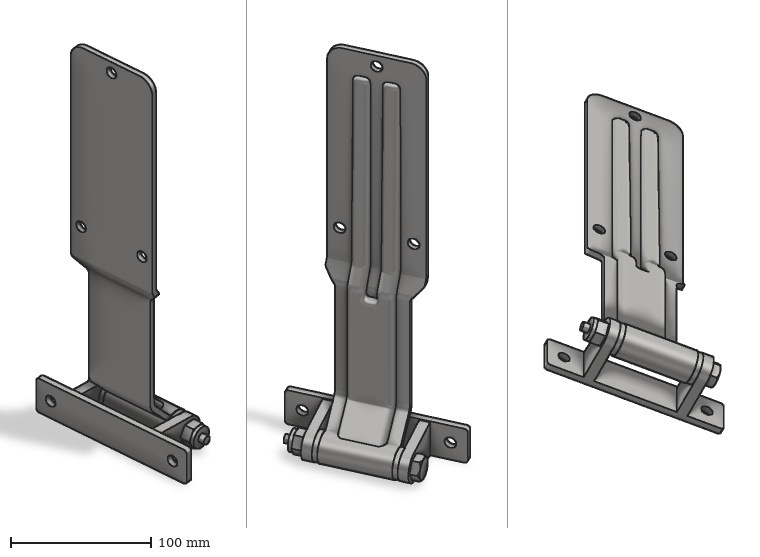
import cadquery as cq
import math

TOTAL_DEPTH = 50.0
BARREL_RADIUS = 25.0 / 2
AXIS_Y = TOTAL_DEPTH - BARREL_RADIUS
AXIS_Z = BARREL_RADIUS
TOP_Z = 342.5
HOLE_D = 9.0
FAR = 685.0
REACH = 0.5

PLATE_WIDTH = 139.0
PLATE_HEIGHT = 30.0
PLATE_THICK = 5.0
PLATE_CORNER = 3.0
PLATE_BOTTOM = 0.17
PLATE_HOLE_X = 56.0
EAR_OUTER_X = 40.8
EAR_INNER_X = 32.5
EAR_RADIUS = AXIS_Z - PLATE_BOTTOM
EAR_STEP = 1.0

STRAP_THICK = 4.5
OFFSET_Y = 9.0
UPPER_BEND_Z = 154.8
MIDDLE_BEND_Z = 140.0
LOWER_BEND_Z = 42.0
INNER_BEND = 4.5
LOWER_INNER_BEND = 8.2
WIDE_HALF = 37.7
NARROW_HALF = 28.5
TAPER_TOP_Z = 150.0
TAPER_BOTTOM_Z = 139.0
TAPER_ROUND = 3.0
TOP_CORNER = 12.0
TOP_HOLE_Z = 333.0
PAIR_HOLE_Z = 183.2
PAIR_HOLE_X = 28.0
BARREL_FILLET = 2.5

RIB_HALF = 18.0
RIB_HEIGHT = 6.0
RIB_TOP_HEIGHT = 3.0
RIB_TOP_Z = 321.5
RIB_ROUND = 4.5
PRONG_CORNER = 4.8
CHANNEL_HALF = 4.5
CHANNEL_BOTTOM_Z = 135.3
CHANNEL_CORNER = 2.5
CREST_TILT = 0.3
CREST_INNER_BEND = 4.0
CREST_OUTER_BEND = 10.5

BUSHING_RADIUS = 12.0
BOLT_RADIUS = 3.5
HEX_FLATS = 17.0
HEX_CORNERS = HEX_FLATS / math.cos(math.pi / 6)
HEAD_END_X = -48.0
HEAD_CHAMFER_DEPTH = 1.5
NUT_HEX_END_X = 49.0
NUT_COLLAR_END_X = 52.0
NUT_COLLAR_RADIUS = 17.5 / 2
BOLT_END_X = 57.2


def axis_cylinder(radius, x_start, x_end):
    """Cylinder about the hinge axis between two X positions."""
    return (
        cq.Workplane("YZ", origin=(x_start, AXIS_Y, AXIS_Z))
        .circle(radius)
        .extrude(x_end - x_start)
    )


def axis_hexagon(x_start, x_end):
    """Hexagonal prism about the hinge axis, with flats at top and bottom."""
    return (
        cq.Workplane("YZ", origin=(x_start, AXIS_Y, AXIS_Z))
        .polygon(6, HEX_CORNERS)
        .extrude(x_end - x_start)
    )


def holes_along_y(points):
    """Drills along Y at the given (x, z) points."""
    return cq.Workplane("XZ").pushPoints(points).circle(HOLE_D / 2).extrude(FAR, both=True)


def edges_within(y_low, y_high, z_low, z_high):
    """Selector for edges centred between the given Y and Z limits, at any X."""
    return cq.selectors.BoxSelector((-FAR, y_low, z_low), (FAR, y_high, z_high))


def side_prism(points, half_width):
    """Prism across X of a closed (y, z) outline."""
    return cq.Workplane("YZ").polyline(points).close().extrude(half_width, both=True)


def make_ear(x_start):
    """Ear with a round end about the axis, a flat bottom and a top edge sloping up to the plate."""
    top_z = PLATE_BOTTOM + PLATE_HEIGHT - EAR_STEP
    dy = AXIS_Y - PLATE_THICK
    dz = top_z - AXIS_Z
    tangent_angle = math.atan2(dz, -dy) - math.acos(EAR_RADIUS / math.hypot(dy, dz))
    tangent = (
        AXIS_Y + EAR_RADIUS * math.cos(tangent_angle),
        AXIS_Z + EAR_RADIUS * math.sin(tangent_angle),
    )
    return (
        cq.Workplane("YZ", origin=(x_start, 0, 0))
        .moveTo(PLATE_THICK, PLATE_BOTTOM)
        .lineTo(AXIS_Y, PLATE_BOTTOM)
        .threePointArc((AXIS_Y + EAR_RADIUS, AXIS_Z), tangent)
        .lineTo(PLATE_THICK, top_z)
        .close()
        .extrude(EAR_OUTER_X - EAR_INNER_X)
    )


def make_bracket():
    middle_z = PLATE_BOTTOM + PLATE_HEIGHT / 2
    bracket = (
        cq.Workplane("XY")
        .box(PLATE_WIDTH, PLATE_THICK, PLATE_HEIGHT)
        .translate((0, PLATE_THICK / 2, middle_z))
        .edges("|Y")
        .fillet(PLATE_CORNER)
    )
    for x_start in (-EAR_OUTER_X, EAR_INNER_X):
        bracket = bracket.union(make_ear(x_start))
    bracket = bracket.cut(holes_along_y([(-PLATE_HOLE_X, middle_z), (PLATE_HOLE_X, middle_z)]))
    return bracket.cut(axis_cylinder(BOLT_RADIUS, -EAR_OUTER_X, EAR_OUTER_X))


JOG_ANGLE = math.atan2(OFFSET_Y, UPPER_BEND_Z - MIDDLE_BEND_Z)
FOOT_ANGLE = math.radians(43)


def strap_bends(depth):
    """(y, z) corners of the upper, middle and lower bends, at a depth behind the front face."""
    jog_shift = depth * math.tan(JOG_ANGLE / 2)
    foot_shift = depth * math.tan(FOOT_ANGLE / 2)
    return [
        (depth, UPPER_BEND_Z + jog_shift),
        (OFFSET_Y + depth, MIDDLE_BEND_Z + jog_shift),
        (OFFSET_Y + depth, LOWER_BEND_Z + foot_shift),
    ]


def strap_foot(depth):
    """(y, z) point where the lowest run, at a depth behind its front face, comes level with the axis."""
    y, z = strap_bends(depth)[2]
    along = (AXIS_Y - y) * math.sin(FOOT_ANGLE) + (z - AXIS_Z) * math.cos(FOOT_ANGLE)
    return (y + along * math.sin(FOOT_ANGLE), z - along * math.cos(FOOT_ANGLE))


def round_bend(body, corner, radius):
    """Rounds the edge along X that passes through a (y, z) corner."""
    y, z = corner
    return body.edges(edges_within(y - REACH, y + REACH, z - REACH, z + REACH)).fillet(radius)


def strap_plan():
    """Outline of the strap in X and Z, as a block through the whole depth."""
    half = [
        (WIDE_HALF, TOP_Z),
        (WIDE_HALF, TAPER_TOP_Z),
        (NARROW_HALF, TAPER_BOTTOM_Z),
        (NARROW_HALF, 0),
    ]
    mirrored = [(-x, z) for x, z in reversed(half)]
    block = cq.Workplane("XZ").polyline(half + mirrored).close().extrude(FAR / 2, both=True)
    block = block.edges("|Y and >Z").fillet(TOP_CORNER)
    taper_corners = edges_within(-FAR, FAR, TAPER_BOTTOM_Z - REACH, TAPER_TOP_Z + REACH)
    return block.edges("|Y").edges(taper_corners).fillet(TAPER_ROUND)


def make_strap_bar():
    front = [(0, TOP_Z)] + strap_bends(0) + [strap_foot(0)]
    back = [(STRAP_THICK, TOP_Z)] + strap_bends(STRAP_THICK) + [strap_foot(STRAP_THICK)]
    bar = side_prism(front + back[::-1], WIDE_HALF)
    outer = INNER_BEND + STRAP_THICK
    lower_outer = LOWER_INNER_BEND + STRAP_THICK
    front_radii = [outer, INNER_BEND, lower_outer]
    back_radii = [INNER_BEND, outer, LOWER_INNER_BEND]
    for corner, radius in zip(strap_bends(0) + strap_bends(STRAP_THICK), front_radii + back_radii):
        bar = round_bend(bar, corner, radius)
    return bar.intersect(strap_plan())


def make_rib():
    """Rib with rounded edges: one wide band below, two prongs of falling height above."""
    root = STRAP_THICK / 2
    crest = STRAP_THICK + RIB_HEIGHT
    crest_bends = strap_bends(crest)
    inner = [(root, RIB_TOP_Z)] + strap_bends(root) + [strap_foot(root)]
    outer = [(STRAP_THICK + RIB_TOP_HEIGHT, RIB_TOP_Z)] + crest_bends + [strap_foot(crest)]
    rib = side_prism(inner + outer[::-1], RIB_HALF)
    channel = (
        cq.Workplane("XZ")
        .moveTo(0, (CHANNEL_BOTTOM_Z + TOP_Z) / 2)
        .rect(2 * CHANNEL_HALF, TOP_Z - CHANNEL_BOTTOM_Z)
        .extrude(FAR / 2, both=True)
    )
    rib = rib.cut(channel)
    rib = rib.edges("|Y and >Z").fillet(PRONG_CORNER)
    channel_floor = edges_within(-FAR, FAR, CHANNEL_BOTTOM_Z - REACH, CHANNEL_BOTTOM_Z + REACH)
    rib = rib.edges("|Y").edges(channel_floor).fillet(CHANNEL_CORNER)
    for corner, radius in zip(crest_bends, [CREST_INNER_BEND, CREST_OUTER_BEND, CREST_INNER_BEND]):
        rib = round_bend(rib, corner, radius)
    return rib.newObject(crest_rim(rib.val())).fillet(RIB_ROUND)


def crest_rim(rib):
    """Edges around the back of the rib, between its crest faces and its upright sides."""
    crest = [face for face in rib.Faces() if face.normalAt().y > CREST_TILT]
    edges = [edge for face in crest for edge in face.Edges()]
    rim = [edge for edge in edges if sum(edge.isSame(other) for other in edges) == 1]
    return [edge for edge in rim if edge.Center().z > AXIS_Z + REACH]


def make_strap():
    strap = make_strap_bar()
    strap = strap.union(axis_cylinder(BARREL_RADIUS, -NARROW_HALF, NARROW_HALF))
    behind_foot = edges_within(AXIS_Y - BARREL_RADIUS / 2, AXIS_Y, AXIS_Z, AXIS_Z + BARREL_RADIUS)
    strap = strap.edges("|X").edges(behind_foot).fillet(BARREL_FILLET)
    strap = strap.union(make_rib())
    hole_points = [(0, TOP_HOLE_Z), (-PAIR_HOLE_X, PAIR_HOLE_Z), (PAIR_HOLE_X, PAIR_HOLE_Z)]
    strap = strap.cut(holes_along_y(hole_points))
    return strap.cut(axis_cylinder(BUSHING_RADIUS, -NARROW_HALF, NARROW_HALF))


def make_bushing():
    tube = axis_cylinder(BUSHING_RADIUS, -EAR_INNER_X, EAR_INNER_X)
    return tube.cut(axis_cylinder(BOLT_RADIUS, -EAR_INNER_X, EAR_INNER_X))


def make_bolt():
    """Bolt whose head has its outer corners turned off to a cone."""
    head = axis_hexagon(HEAD_END_X, -EAR_OUTER_X)
    head = head.intersect(
        axis_cylinder(HEX_CORNERS / 2, HEAD_END_X, -EAR_OUTER_X)
        .faces("<X")
        .chamfer(HEAD_CHAMFER_DEPTH)
    )
    return head.union(axis_cylinder(BOLT_RADIUS, -EAR_OUTER_X, BOLT_END_X))


def make_nut():
    nut = axis_hexagon(EAR_OUTER_X, NUT_HEX_END_X)
    nut = nut.union(axis_cylinder(NUT_COLLAR_RADIUS, NUT_HEX_END_X, NUT_COLLAR_END_X))
    return nut.cut(axis_cylinder(BOLT_RADIUS, EAR_OUTER_X, NUT_COLLAR_END_X))


bracket = make_bracket()
strap = make_strap()
bushing = make_bushing()
bolt = make_bolt()
nut = make_nut()
result = cq.Compound.makeCompound([bracket.val(), strap.val(), bushing.val(), bolt.val(), nut.val()])